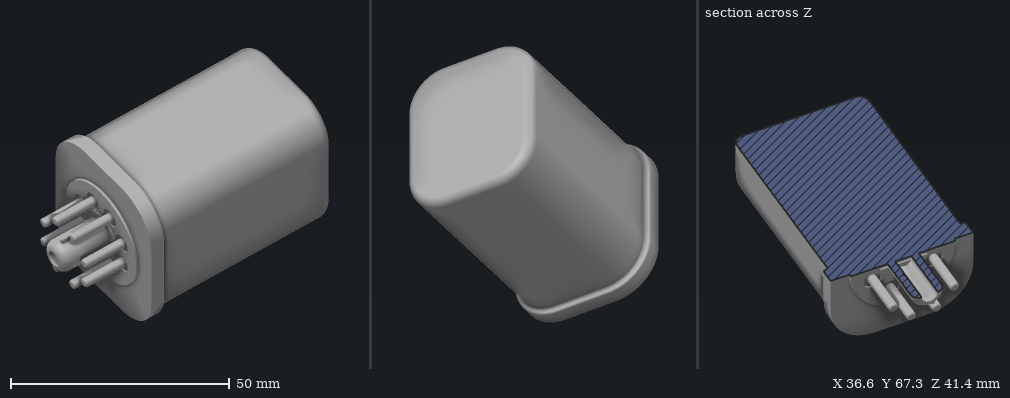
import cadquery as cq
import math


overall_length = 67.3

can_width = 34.0
can_height = 38.75
can_corner_radius = 10.0
can_end_fillet = 2.5
can_end_y = 53.0
flange_overhang = 1.3
flange_thickness = 4.0
flange_edge_fillet = 0.6
flange_root_fillet = 0.65
foot_margin = 0.02

base_radius = 13.5
base_height = 0.7
pad_radius = 6.05
pad_height = 0.35
pad_slot_width = 1.4
pad_top = base_height + pad_height

pin_count = 8
pin_circle_radius = 8.5
pin_radius = 1.15
pin_tip = 11.6
pin_tip_fillet = 0.55
pin_recess_radius = 2.3
pin_recess_depth = 0.5

post_radius = 4.05
post_bore_radius = 2.0
post_tip = overall_length - can_end_y
post_tip_fillet = post_radius - post_bore_radius
key_width = 1.1
key_reach = 5.5
key_tip = post_tip - post_tip_fillet
key_tip_fillet = 0.5


def section_at(distance):
    """XZ workplane at a distance in front of the flange face, facing -Y."""
    return cq.Workplane("XZ", origin=(0, -distance, 0))


def rounded_block(width, height, corner_radius, length):
    """Rounded rectangle extruded from the flange face toward +Y."""
    block = section_at(0).rect(width, height).extrude(-length)
    return block.edges("|Y").fillet(corner_radius)


def cylinder(radius, start, end, x=0, z=0):
    """Cylinder along the plug axis between two distances from the flange face."""
    return section_at(start).center(x, z).circle(radius).extrude(end - start)


def make_housing():
    flange = rounded_block(
        can_width + 2 * flange_overhang,
        can_height + 2 * flange_overhang,
        can_corner_radius + flange_overhang,
        flange_thickness,
    )
    flange = flange.faces(">Y").edges().fillet(flange_edge_fillet)
    can = rounded_block(can_width, can_height, can_corner_radius, can_end_y)
    can = can.faces(">Y").edges().fillet(can_end_fillet)
    housing = flange.union(can)
    return housing.edges(can_foot_selector()).fillet(flange_root_fillet)


def can_foot_selector():
    """Selects the edges where the can wall meets the flange."""
    half_x = can_width / 2 + foot_margin
    half_z = can_height / 2 + foot_margin
    return cq.selectors.BoxSelector(
        (-half_x, flange_thickness - foot_margin, -half_z),
        (half_x, flange_thickness + foot_margin, half_z),
        boundingbox=True,
    )


def pin_positions():
    step = 2 * math.pi / pin_count
    angles = [(index + 0.5) * step for index in range(pin_count)]
    return [(pin_circle_radius * math.cos(a), pin_circle_radius * math.sin(a)) for a in angles]


def make_pad():
    pad = cylinder(pad_radius, base_height, pad_top)
    slot = section_at(base_height).rect(2 * pad_radius, pad_slot_width).extrude(pad_height)
    return pad.cut(slot)


def make_pin(x, z):
    pin = cylinder(pin_radius, base_height - pin_recess_depth, pin_tip, x, z)
    return pin.faces("<Y").edges().fillet(pin_tip_fillet)


def make_post():
    """Hollow post whose rounded tip runs out at the mouth of the bore."""
    bulge = post_tip_fillet * math.sqrt(0.5)
    profile = (
        cq.Workplane("XY")
        .moveTo(post_bore_radius, -base_height)
        .lineTo(post_radius, -base_height)
        .lineTo(post_radius, -key_tip)
        .threePointArc((post_bore_radius + bulge, -key_tip - bulge), (post_bore_radius, -post_tip))
        .close()
    )
    return profile.revolve(360, (0, 0, 0), (0, 1, 0))


def make_key():
    """Round-topped key along the +Z side of the post, kept clear of the bore."""
    half_width = key_width / 2
    shoulder = key_reach - half_width
    key = (
        section_at(base_height)
        .moveTo(-half_width, 0)
        .lineTo(-half_width, shoulder)
        .threePointArc((0, key_reach), (half_width, shoulder))
        .lineTo(half_width, 0)
        .close()
        .extrude(key_tip - base_height)
    )
    key = key.faces("<Y").edges().fillet(key_tip_fillet)
    return key.cut(cylinder(post_bore_radius, base_height, key_tip))


def make_relay():
    relay = make_housing().union(cylinder(base_radius, 0, base_height))
    relay = relay.union(make_pad())
    for x, z in pin_positions():
        recess = cylinder(pin_recess_radius, base_height - pin_recess_depth, pad_top, x, z)
        relay = relay.cut(recess).union(make_pin(x, z))
    return relay.union(make_post()).union(make_key())


result = make_relay()